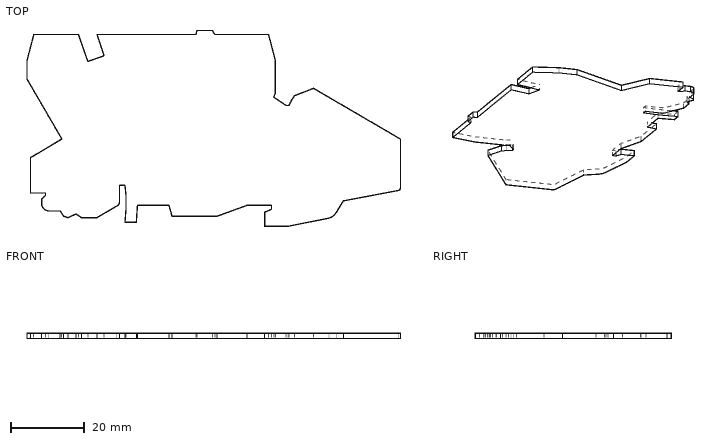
import cadquery as cq

length = 101.0
width = 53.0
thickness = 1.5

body_right = 67.2
body_top = 51.9
corner_inset = 1.8
corner_y = 44.9

waist_y = 23.6
belly_y = 5.7
keel_y = 2.7
tail_x = 0.9
tail_bottom = 9.0
paw_left = 3.9
paw_bottom = 4.1
foot_y = 2.3
slot_left = 25.0
slot_top = 11.1
tab_left = 26.5
tab_bottom = 1.1
hook_left = 64.2
hook_notch_x = 66.0
valley_y = 32.7

outline = cq.Workplane("XY").moveTo(9.4, waist_y)


def add_points(path, points):
    """Continue the outline through straight segments."""
    for x, y in points:
        path = path.lineTo(x, y)
    return path


def add_tail_and_foot(path):
    path = add_points(path, [
        (tail_x, 18.6),
        (tail_x, tail_bottom),
        (4.9, tail_bottom),
        (4.9, 8.4),
        (paw_left, 7.4),
        (paw_left, 5.8),
    ])
    path = path.threePointArc((4.5, 4.7), (5.9, paw_bottom))
    path = add_points(path, [
        (9.0, paw_bottom),
        (9.9, 2.7),
        (11.1, foot_y),
        (13.2, 3.3),
        (14.7, foot_y),
        (18.9, foot_y),
        (24.2, 5.5),
    ])
    return path.threePointArc((24.8, 6.0), (slot_left, 6.7))


def add_underside(path):
    return add_points(path, [
        (slot_left, slot_top),
        (tab_left, slot_top),
        (26.8, 8.1),
        (26.8, 5.0),
        (tab_left, tab_bottom),
        (29.6, tab_bottom),
        (29.9, belly_y),
        (38.4, belly_y),
        (39.2, keel_y),
        (51.4, keel_y),
        (59.5, belly_y),
        (hook_notch_x, belly_y),
        (hook_notch_x, 4.6),
        (hook_left, 3.8),
        (hook_left, 0),
        (70.6, 0),
        (81.7, 2.2),
    ])


def add_nose(path):
    path = path.threePointArc((82.7, 2.7), (83.6, 3.7))
    path = add_points(path, [(85.5, 6.9), (100.5, 9.7)])
    path = path.threePointArc((100.8, 9.9), (length, 10.3))
    return add_points(path, [
        (length, waist_y),
        (77.5, 37.4),
        (72.3, 35.3),
        (71.5, 34.1),
        (70.8, valley_y),
        (70.1, valley_y),
        (66.8, 34.9),
        (body_right, 36.0),
    ])


def add_body_top(path):
    return add_points(path, [
        (body_right, corner_y),
        (body_right - corner_inset, body_top),
        (50.8, body_top),
        (50.1, width),
        (46.0, width),
        (45.6, body_top),
        (18.9, body_top),
        (20.8, 46.2),
        (16.5, 44.6),
        (13.9, body_top),
        (corner_inset, body_top),
        (0, corner_y),
        (0, 39.8),
    ])


for add_section in (add_tail_and_foot, add_underside, add_nose, add_body_top):
    outline = add_section(outline)

result = outline.close().extrude(thickness)